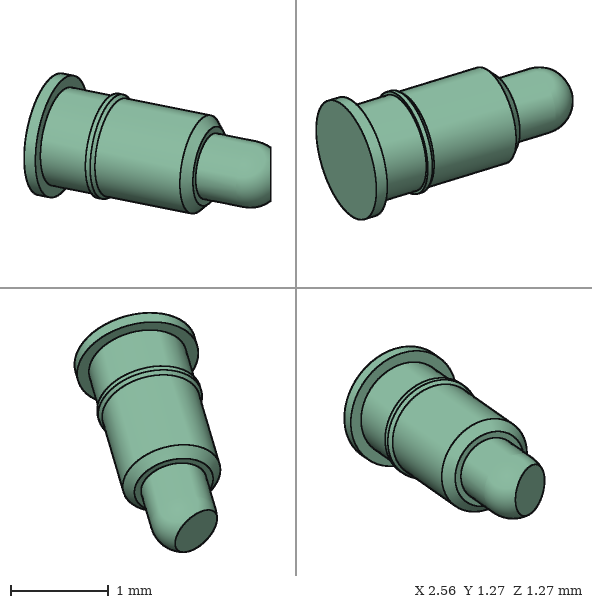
import cadquery as cq
import math

length = 2.56
flange_radius = 0.635
flange_thickness = 0.128
body_radius = 0.512

ring_start = 0.65
ring_land_end = 0.705
ring_end = 0.742
ring_radius = 0.545

chamfer_size = 0.1
shoulder_x = 1.8
shoulder_radius = body_radius - chamfer_size

tip_radius = 0.343
dome_center_x = 2.255

tip_face_angle = 65.0
tip_point_y = -math.sqrt(tip_radius**2 - (length - dome_center_x) ** 2)


def make_turned_pin():
    """Revolve the flange, body, ring and round-nosed plunger as one solid."""
    dome_mid = tip_radius * math.sqrt(0.5)
    profile = (
        cq.Workplane("XY")
        .lineTo(0, flange_radius)
        .lineTo(flange_thickness, flange_radius)
        .lineTo(flange_thickness, body_radius)
        .lineTo(ring_start, body_radius)
        .lineTo(ring_start, ring_radius)
        .lineTo(ring_land_end, ring_radius)
        .lineTo(ring_end, body_radius)
        .lineTo(shoulder_x - chamfer_size, body_radius)
        .lineTo(shoulder_x, shoulder_radius)
        .lineTo(shoulder_x, tip_radius)
        .lineTo(dome_center_x, tip_radius)
        .threePointArc((dome_center_x + dome_mid, dome_mid), (dome_center_x + tip_radius, 0))
        .close()
    )
    return profile.revolve(360, (0, 0, 0), (1, 0, 0))


def make_tip_cutter():
    """Block whose lower face lies on the slanted tip face."""
    block_size = 4 * tip_radius
    angle = math.radians(tip_face_angle)
    slanted_plane = cq.Plane(
        origin=(length, tip_point_y, 0),
        xDir=(0, 0, 1),
        normal=(math.sin(angle), math.cos(angle), 0),
    )
    return cq.Workplane(slanted_plane).rect(block_size, block_size).extrude(block_size)


result = make_turned_pin().cut(make_tip_cutter())